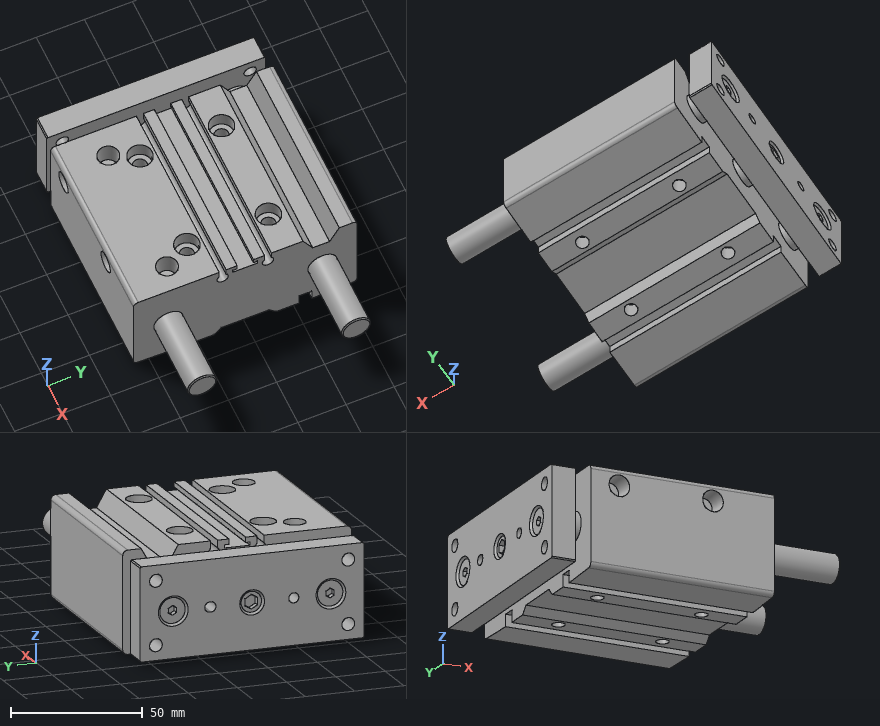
import cadquery as cq
import math

total_length = 125.5
plate_thickness = 10.0
plate_width = 91.0
plate_height = 37.9
plate_edge_chamfer = 0.5

housing_start = 16.0
housing_length = 77.5
housing_width = 93.0
housing_height = 42.0
corner_radius = 2.0
underside_rise = 0.6

housing_end = housing_start + housing_length
housing_top = housing_height / 2
housing_bottom = -housing_height / 2
housing_side = housing_width / 2

rod_diameter = 12.0
guide_rod_offset = 32.0
guide_rod_chamfer = 0.5
piston_rod_depth = 50.2
piston_rod_end = housing_start + piston_rod_depth

corner_hole_diameter = 5.1
corner_hole_y = 39.0
corner_hole_z = 12.8
dowel_diameter = 4.0
dowel_offset = 17.0
dowel_slot_length = 4.5
recess_depth = 0.9
guide_recess_diameter = 12.0
piston_recess_diameter = 10.0
guide_hex_flats = 3.3
piston_hex_flats = 5.0
hex_depth = 2.5

dovetail_y = 31.5
dovetail_top_width = 15.0
dovetail_floor_width = 7.0
dovetail_depth = 7.0
sensor_groove_y = 9.4
sensor_groove_opening = 2.9
sensor_groove_diameter = 4.6
sensor_groove_centre_depth = 4.9
channel_opening = 6.8
channel_floor_width = 10.3
channel_lip = 2.1
channel_depth = 3.4

mount_slot_y = 25.0
mount_slot_width = 5.3
mount_slot_depth = 5.0
relief_bottom_width = 25.9
relief_depth = 3.0

mount_hole_y = 17.0
mount_hole_x = (33.0, 76.9)
mount_hole_diameter = 5.8
mount_thread_diameter = 5.1
mount_thread_depth = 10.0
counterbore_diameter = 10.0
counterbore_depth = 6.5
port_diameter = 8.7
port_floor_diameter = 7.8
port_depth = 8.8
port_pilot_diameter = 2.0
port_pilot_depth = 2.5
top_port_x = (28.0, 83.0)
top_port_y = -27.9
side_port_x = (28.0, 67.5)
side_port_z = 13.9

ALONG_X = cq.Vector(1, 0, 0)
ALONG_Y = cq.Vector(0, 1, 0)
DOWN = cq.Vector(0, 0, -1)


def rod(y, start, end):
    """Round bar along X, also used to bore its own matching hole."""
    return cq.Workplane(cq.Solid.makeCylinder(rod_diameter / 2, end - start, cq.Vector(start, y, 0), ALONG_X))


def housing_prism(points):
    """Outline of (Y, Z) points carried along the whole housing."""
    return cq.Workplane("YZ", origin=(housing_start, 0, 0)).polyline(points).close().extrude(housing_length)


def groove(y, surface_z, floor_z, opening, floor_width):
    """Groove with straight walls between an opening width and a floor width."""
    return housing_prism([
        (y - opening / 2, surface_z),
        (y + opening / 2, surface_z),
        (y + floor_width / 2, floor_z),
        (y - floor_width / 2, floor_z),
    ])


def sensor_groove(y):
    """Narrow slot that ends in a wider round channel."""
    centre_z = housing_top - sensor_groove_centre_depth
    slot = groove(y, housing_top, centre_z, sensor_groove_opening, sensor_groove_opening)
    channel = cq.Solid.makeCylinder(
        sensor_groove_diameter / 2, housing_length, cq.Vector(housing_start, y, centre_z), ALONG_X
    )
    return slot.union(cq.Workplane(channel))


def centre_channel():
    """T-shaped channel between the two middle rails."""
    lip_z = housing_top - channel_lip
    floor_z = housing_top - channel_depth
    neck = groove(0, housing_top, floor_z, channel_opening, channel_opening)
    return neck.union(groove(0, lip_z, floor_z, channel_floor_width, channel_floor_width))


def mounting_hole(x, y):
    """Counterbored hole through the housing with a narrower thread at the lower end."""
    top = cq.Vector(x, y, housing_top)
    clear_depth = housing_height - mount_thread_depth
    counterbore = cq.Solid.makeCylinder(counterbore_diameter / 2, counterbore_depth, top, DOWN)
    clearance = cq.Solid.makeCylinder(mount_hole_diameter / 2, clear_depth, top, DOWN)
    thread = cq.Solid.makeCylinder(mount_thread_diameter / 2, housing_height, top, DOWN)
    return cq.Workplane(thread).union(cq.Workplane(clearance)).union(cq.Workplane(counterbore))


def port(position, direction):
    """Tapered air port with a small pilot hole in its floor."""
    taper = cq.Solid.makeCone(port_diameter / 2, port_floor_diameter / 2, port_depth, position, direction)
    pilot = cq.Solid.makeCylinder(port_pilot_diameter / 2, port_depth + port_pilot_depth, position, direction)
    return cq.Workplane(taper).union(cq.Workplane(pilot))


def make_housing():
    outer_bottom = housing_bottom + underside_rise
    flat_half = mount_slot_y + mount_slot_width / 2
    body = housing_prism([
        (-housing_side, housing_top),
        (housing_side, housing_top),
        (housing_side, outer_bottom),
        (flat_half, housing_bottom),
        (-flat_half, housing_bottom),
        (-housing_side, outer_bottom),
    ])
    body = body.edges("|X and (<Y or >Y)").fillet(corner_radius)

    body = body.cut(groove(
        dovetail_y, housing_top, housing_top - dovetail_depth, dovetail_top_width, dovetail_floor_width
    ))
    body = body.cut(centre_channel())
    for side in (-1, 1):
        body = body.cut(sensor_groove(side * sensor_groove_y))

    for side in (-1, 1):
        slot_floor = housing_bottom + mount_slot_depth
        body = body.cut(groove(side * mount_slot_y, housing_bottom, slot_floor, mount_slot_width, mount_slot_width))
    relief_floor_width = relief_bottom_width - 2 * relief_depth
    body = body.cut(groove(0, housing_bottom, housing_bottom + relief_depth, relief_bottom_width, relief_floor_width))

    for x in mount_hole_x:
        for side in (-1, 1):
            body = body.cut(mounting_hole(x, side * mount_hole_y))
    for x in top_port_x:
        body = body.cut(port(cq.Vector(x, top_port_y, housing_top), DOWN))
    for x in side_port_x:
        body = body.cut(port(cq.Vector(x, -housing_side, side_port_z), ALONG_Y))

    for side in (-1, 1):
        body = body.cut(rod(side * guide_rod_offset, housing_start, housing_end))
    return body.cut(rod(0, housing_start, piston_rod_end))


def screw_recess(y, diameter, hex_flats):
    """Shallow conical recess in the plate front with a hexagon socket in its floor."""
    floor_radius = diameter / 2 - recess_depth
    cone = cq.Solid.makeCone(diameter / 2, floor_radius, recess_depth, cq.Vector(0, y, 0), ALONG_X)
    hex_corners = hex_flats / math.cos(math.pi / 6)
    socket = (
        cq.Workplane("YZ")
        .center(y, 0)
        .transformed(rotate=(0, 0, 90))
        .polygon(6, hex_corners)
        .extrude(recess_depth + hex_depth)
    )
    return cq.Workplane(cone).union(socket)


def make_slide():
    """Tool plate with the piston rod and both guide rods."""
    slide = cq.Workplane("YZ").rect(plate_width, plate_height).extrude(plate_thickness)
    slide = slide.edges("|X").chamfer(plate_edge_chamfer)

    slide = slide.cut(
        cq.Workplane("YZ")
        .rect(2 * corner_hole_y, 2 * corner_hole_z, forConstruction=True)
        .vertices()
        .circle(corner_hole_diameter / 2)
        .extrude(plate_thickness)
    )
    slide = slide.cut(
        cq.Workplane("YZ").center(-dowel_offset, 0).circle(dowel_diameter / 2).extrude(plate_thickness)
    )
    slide = slide.cut(
        cq.Workplane("YZ").center(dowel_offset, 0).slot2D(dowel_slot_length, dowel_diameter).extrude(plate_thickness)
    )

    slide = slide.union(rod(0, plate_thickness, piston_rod_end))
    for side in (-1, 1):
        guide_rod = rod(side * guide_rod_offset, plate_thickness, total_length)
        slide = slide.union(guide_rod.faces(">X").chamfer(guide_rod_chamfer))

    for side in (-1, 1):
        slide = slide.cut(screw_recess(side * guide_rod_offset, guide_recess_diameter, guide_hex_flats))
    return slide.cut(screw_recess(0, piston_recess_diameter, piston_hex_flats))


housing = make_housing()
slide = make_slide()

result = cq.Compound.makeCompound([housing.val(), slide.val()])